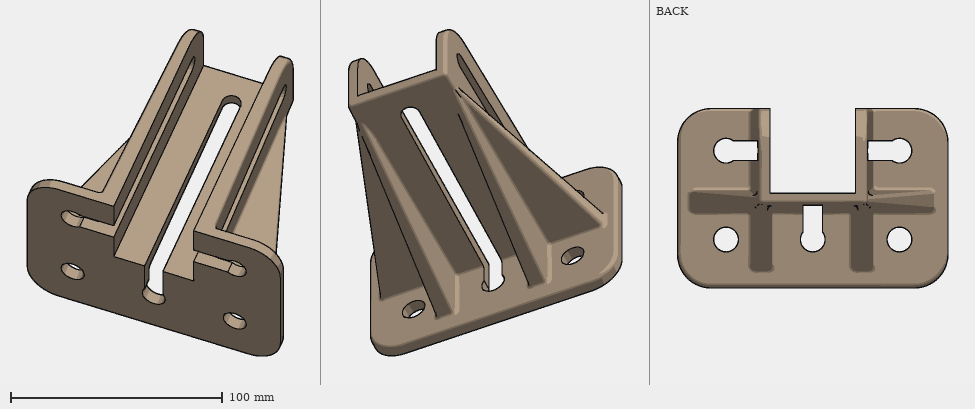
import cadquery as cq
import math

PLATE_WIDTH = 128.0
PLATE_HEIGHT = 85.0
PLATE_THICKNESS = 6.0
PLATE_CORNER_RADIUS = 16.0

ARM_LENGTH = 120.0
CHANNEL_WIDTH = 40.4
CHANNEL_DEPTH = 40.0
END_WALL = 5.5
DRAFT = math.tan(math.radians(1.5))
ARM_CORNER_RADIUS = 20.0
EDGE_RADIUS = 2.0
INNER_ROOT_RADIUS = 1.8

GUSSET_END_THICKNESS = 3.7
GUSSET_TIP_Y = 110.0
SIDE_GUSSET_SLOPE = 0.309
LOWER_GUSSET_SLOPE = 0.297
GUSSET_EMBED = 1.0

HOLE_DIAMETER = 11.6
HOLE_X = 41.0
LOWER_HOLE_Z = 23.0
SLOT_DEPTH_BELOW_TOP = 20.0
SLOT_WIDTH = 9.2
SLOT_END_Y = 108.3

SELECTION_MARGIN = 0.1

SLOT_Z = PLATE_HEIGHT - SLOT_DEPTH_BELOW_TOP
FLOOR_Z = PLATE_HEIGHT - CHANNEL_DEPTH
ARM_END_HALF_WIDTH = CHANNEL_WIDTH / 2 + END_WALL
ARM_END_BOTTOM = FLOOR_Z - END_WALL
ARM_ROOT_GROWTH = ARM_LENGTH * DRAFT


def mirrored(solid):
    return solid.mirror("YZ")


def build_plate():
    plate = cq.Workplane("XY").box(
        PLATE_WIDTH, PLATE_THICKNESS, PLATE_HEIGHT, centered=(True, False, False)
    )
    plate = plate.edges("|Y").fillet(PLATE_CORNER_RADIUS)
    return plate.faces(">Y").edges().fillet(EDGE_RADIUS)


def build_arm():
    """Solid drafted block; the channel opening is cut later."""
    root_half_width = ARM_END_HALF_WIDTH + ARM_ROOT_GROWTH
    plan = (
        cq.Workplane("XY")
        .polyline([
            (-root_half_width, 0),
            (root_half_width, 0),
            (ARM_END_HALF_WIDTH, ARM_LENGTH),
            (-ARM_END_HALF_WIDTH, ARM_LENGTH),
        ])
        .close()
        .extrude(PLATE_HEIGHT)
    )
    side = (
        cq.Workplane("YZ")
        .moveTo(0, PLATE_HEIGHT)
        .lineTo(ARM_LENGTH - ARM_CORNER_RADIUS, PLATE_HEIGHT)
        .radiusArc((ARM_LENGTH, PLATE_HEIGHT - ARM_CORNER_RADIUS), ARM_CORNER_RADIUS)
        .lineTo(ARM_LENGTH, ARM_END_BOTTOM)
        .lineTo(0, ARM_END_BOTTOM - ARM_ROOT_GROWTH)
        .close()
        .extrude(root_half_width, both=True)
    )
    arm = plan.intersect(side)
    flank_edges = arm.faces("<X or >X").edges("not(<Y)")
    lower_end_edge = arm.edges("|X").edges(">Y").edges("<Z")
    return flank_edges.add(lower_end_edge).fillet(EDGE_RADIUS)


def build_fin(slope):
    """Tapered triangular fin along -X, its origin on the lower edge of the arm's free end.

    The lower face continues the drafted face of the arm; the upper face mirrors its draft.
    """
    tip_y = GUSSET_TIP_Y + GUSSET_EMBED / slope
    outline = (
        cq.Workplane("XY")
        .polyline([(-slope * GUSSET_TIP_Y, 0), (GUSSET_EMBED, tip_y), (GUSSET_EMBED, 0)])
        .close()
        .extrude(PLATE_HEIGHT, both=True)
    )
    taper = (
        cq.Workplane("YZ")
        .polyline([
            (0, -ARM_ROOT_GROWTH),
            (ARM_LENGTH, 0),
            (ARM_LENGTH, GUSSET_END_THICKNESS),
            (0, GUSSET_END_THICKNESS + ARM_ROOT_GROWTH),
        ])
        .close()
        .extrude(PLATE_WIDTH, both=True)
    )
    fin = outline.intersect(taper)
    sloped_edges = fin.faces("#Z and (not |X) and (not |Y)").edges("not |Z")
    return sloped_edges.fillet(EDGE_RADIUS)


def add_gussets(body):
    side_gusset = build_fin(SIDE_GUSSET_SLOPE)
    lower_gusset = build_fin(LOWER_GUSSET_SLOPE).rotate((0, 0, 0), (0, 1, 0), 90).mirror("XY")
    for gusset in (side_gusset, lower_gusset):
        gusset = gusset.translate((-ARM_END_HALF_WIDTH, 0, ARM_END_BOTTOM))
        body = body.union(gusset).union(mirrored(gusset))
    return body.clean()


def fillet_edges_at(body, points, radius):
    """Fillet the edges centred nearest to the points and to their mirror images in X."""
    edges = cq.Workplane()
    for x, y, z in points:
        for side in (1, -1):
            edges.add(body.edges(cq.selectors.NearestToPointSelector((side * x, y, z))))
    return body.newObject(edges.vals()).fillet(radius)


def fillet_gusset_roots(body):
    mid_y = GUSSET_TIP_Y / 2
    growth = (ARM_LENGTH - mid_y) * DRAFT
    outer_x = ARM_END_HALF_WIDTH + growth
    inner_x = ARM_END_HALF_WIDTH - GUSSET_END_THICKNESS - growth
    lower_z = ARM_END_BOTTOM - growth
    upper_z = ARM_END_BOTTOM + GUSSET_END_THICKNESS + growth

    body = fillet_edges_at(body, [(inner_x, mid_y, lower_z)], INNER_ROOT_RADIUS)
    return fillet_edges_at(
        body, [(outer_x, mid_y, lower_z), (outer_x, mid_y, upper_z)], EDGE_RADIUS
    )


def fillet_plate_roots(body):
    """Fillet where the arm and gussets meet the back of the plate, clear of its own rim."""
    half_width = PLATE_WIDTH / 2 - 2 * EDGE_RADIUS
    root_zone = cq.selectors.BoxSelector(
        (-half_width, PLATE_THICKNESS - SELECTION_MARGIN, PLATE_CORNER_RADIUS),
        (half_width, PLATE_THICKNESS + SELECTION_MARGIN, PLATE_HEIGHT - PLATE_CORNER_RADIUS),
    )
    return body.edges(root_zone).fillet(EDGE_RADIUS)


def cut_channel(body):
    channel = cq.Workplane("XY").box(
        CHANNEL_WIDTH, ARM_LENGTH, CHANNEL_DEPTH, centered=(True, False, False)
    )
    return body.cut(channel.translate((0, 0, FLOOR_Z)))


def build_slot(reach):
    """Round-ended slot along Y, cut downwards from Z = 0 by reach."""
    straight_end = SLOT_END_Y - SLOT_WIDTH / 2
    return (
        cq.Workplane("XY")
        .moveTo(-SLOT_WIDTH / 2, 0)
        .lineTo(-SLOT_WIDTH / 2, straight_end)
        .threePointArc((0, SLOT_END_Y), (SLOT_WIDTH / 2, straight_end))
        .lineTo(SLOT_WIDTH / 2, 0)
        .close()
        .extrude(-reach)
    )


def cut_slots(body):
    floor_slot = build_slot(FLOOR_Z - LOWER_HOLE_Z).translate((0, 0, FLOOR_Z))
    wall_slots = build_slot(2 * HOLE_X).rotate((0, 0, 0), (0, 1, 0), 90).translate((HOLE_X, 0, SLOT_Z))
    return body.cut(floor_slot).cut(wall_slots)


def cut_bolt_holes(body):
    centres = [
        (-HOLE_X, SLOT_Z),
        (HOLE_X, SLOT_Z),
        (-HOLE_X, LOWER_HOLE_Z),
        (0, LOWER_HOLE_Z),
        (HOLE_X, LOWER_HOLE_Z),
    ]
    holes = (
        cq.Workplane("XZ")
        .pushPoints(centres)
        .circle(HOLE_DIAMETER / 2)
        .extrude(-PLATE_THICKNESS - EDGE_RADIUS)
    )
    return body.cut(holes)


bracket = add_gussets(build_plate().union(build_arm()))
bracket = fillet_gusset_roots(bracket)
bracket = fillet_plate_roots(bracket)
bracket = cut_channel(bracket)
bracket = cut_slots(bracket)
result = cut_bolt_holes(bracket)